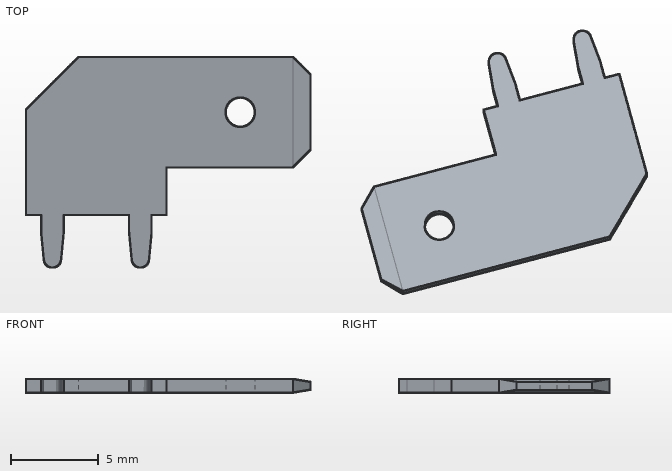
import cadquery as cq
import math

total_length = 16.2
thickness = 0.8
body_width = 8.0
body_height = 9.0
corner_cut = 3.0

blade_height = 6.3
tip_length = 1.0
tip_thickness = 0.45
hole_diameter = 1.65
hole_x = 12.2
blade_bottom = body_height - blade_height
blade_middle = body_height - blade_height / 2

leg_length = 3.0
leg_width = 1.3
leg_straight = 1.0
leg_end_radius = 0.5
first_leg_x = 1.5
leg_pitch = 5.0


def make_plate():
    """Body and blade with the cut body corner and the narrowed blade tip."""
    tip_start = total_length - tip_length
    outline = [
        (0, 0),
        (body_width, 0),
        (body_width, blade_bottom),
        (tip_start, blade_bottom),
        (total_length, blade_bottom + tip_length),
        (total_length, body_height - tip_length),
        (tip_start, body_height),
        (corner_cut, body_height),
        (0, body_height - corner_cut),
    ]
    return cq.Workplane("XY", origin=(0, 0, -thickness / 2)).polyline(outline).close().extrude(thickness)


def make_leg(center_x):
    """Leg with straight sides at the root, a taper and a round end tangent to it."""
    half_width = leg_width / 2
    round_center_y = leg_end_radius - leg_length
    taper_height = -leg_straight - round_center_y
    touch_angle = math.atan2(taper_height, half_width) - math.acos(
        leg_end_radius / math.hypot(half_width, taper_height)
    )
    touch_x = leg_end_radius * math.cos(touch_angle)
    touch_y = round_center_y + leg_end_radius * math.sin(touch_angle)
    return (
        cq.Workplane("XY", origin=(0, 0, -thickness / 2))
        .moveTo(center_x - half_width, 0)
        .lineTo(center_x - half_width, -leg_straight)
        .lineTo(center_x - touch_x, touch_y)
        .threePointArc((center_x, -leg_length), (center_x + touch_x, touch_y))
        .lineTo(center_x + half_width, -leg_straight)
        .lineTo(center_x + half_width, 0)
        .close()
        .extrude(thickness)
    )


def make_tip_bevel(side):
    """Wedge removed from the upper (side = 1) or lower (side = -1) face of the blade tip."""
    return (
        cq.Workplane("XZ", origin=(0, body_height, 0))
        .moveTo(total_length - tip_length, side * thickness / 2)
        .lineTo(total_length, side * thickness / 2)
        .lineTo(total_length, side * tip_thickness / 2)
        .close()
        .extrude(blade_height)
    )


result = make_plate()
for leg_index in range(2):
    result = result.union(make_leg(first_leg_x + leg_index * leg_pitch))
for side in (1, -1):
    result = result.cut(make_tip_bevel(side))

hole = (
    cq.Workplane("XY", origin=(0, 0, -thickness / 2))
    .center(hole_x, blade_middle)
    .circle(hole_diameter / 2)
    .extrude(thickness)
)
result = result.cut(hole)